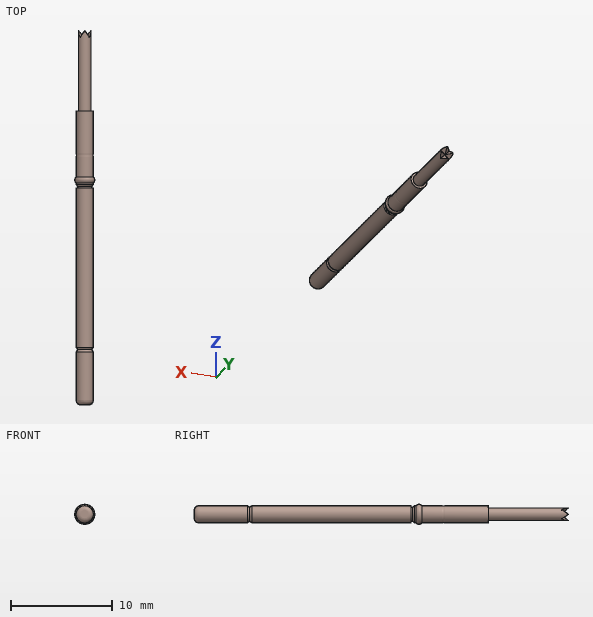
import cadquery as cq
import math

length = 37.0
barrel_radius = 0.85
plunger_radius = 0.63
plunger_length = 7.9

rear_rounding = 0.45

rear_groove_y = 5.48
rear_groove_half_width = 0.22
rear_groove_depth = 0.15

ring_radius = 1.0
ring_rear_y = 21.95
ring_width = 0.6
relief_rear_y = 21.45
relief_floor_width = 0.15
relief_taper_width = 0.2
relief_depth = 0.15

crimp_y = 24.68
crimp_half_width = 0.15
crimp_depth = 0.02

crown_depth = 0.65


def make_barrel():
    """Revolve the barrel, with its plunger shaft, around the Y axis."""
    front_y = length - plunger_length
    arc_offset = rear_rounding * (1 - math.sqrt(0.5))
    relief_radius = barrel_radius - relief_depth
    relief_floor_end = relief_rear_y + relief_floor_width
    ring_front_y = ring_rear_y + ring_width
    profile = (
        cq.Workplane("ZY")
        .moveTo(0, 0)
        .lineTo(barrel_radius - rear_rounding, 0)
        .threePointArc((barrel_radius - arc_offset, arc_offset), (barrel_radius, rear_rounding))
        .lineTo(barrel_radius, rear_groove_y - rear_groove_half_width)
        .lineTo(barrel_radius - rear_groove_depth, rear_groove_y)
        .lineTo(barrel_radius, rear_groove_y + rear_groove_half_width)
        .lineTo(barrel_radius, relief_rear_y)
        .lineTo(relief_radius, relief_rear_y)
        .lineTo(relief_radius, relief_floor_end)
        .lineTo(barrel_radius, relief_floor_end + relief_taper_width)
        .lineTo(barrel_radius, ring_rear_y)
        .threePointArc((ring_radius, ring_rear_y + ring_width / 2), (barrel_radius, ring_front_y))
        .lineTo(barrel_radius, crimp_y - crimp_half_width)
        .threePointArc(
            (barrel_radius - crimp_depth, crimp_y),
            (barrel_radius, crimp_y + crimp_half_width),
        )
        .lineTo(barrel_radius, front_y)
        .lineTo(plunger_radius, front_y)
        .lineTo(plunger_radius, length)
        .lineTo(0, length)
        .close()
    )
    return profile.revolve(360, (0, 0, 0), (0, 1, 0))


def make_crown_cut(angle):
    """V slot across the plunger tip, turned about Y; its walls reach the tips on the X and Z axes."""
    half_width = plunger_radius * math.sqrt(0.5)
    reach = 2.0
    slot_top = length + (reach - 1) * crown_depth
    return (
        cq.Workplane("XY")
        .moveTo(0, length - crown_depth)
        .lineTo(half_width * reach, slot_top)
        .lineTo(-half_width * reach, slot_top)
        .close()
        .extrude(2 * plunger_radius, both=True)
        .rotate((0, 0, 0), (0, 1, 0), angle)
    )


result = make_barrel()
for slot_angle in (45, 135):
    result = result.cut(make_crown_cut(slot_angle))